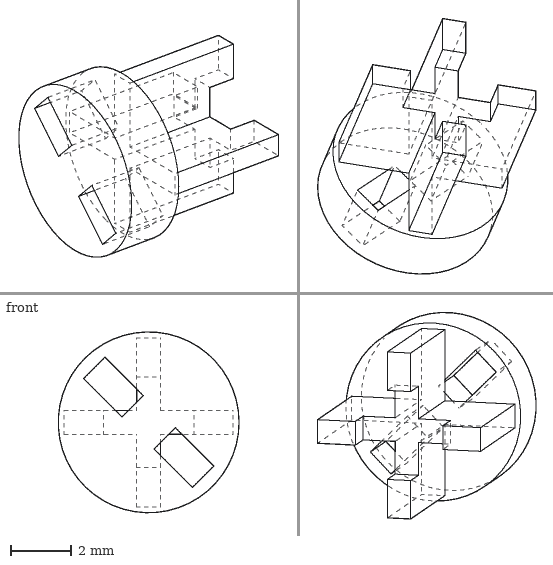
import cadquery as cq

total_length = 6.4
disk_diameter = 6.0
disk_thickness = 2.0
plate_width = 5.6
plate_thickness = 0.8
notch_width = 3.0
notch_depth = 1.0
hole_length = 1.8
hole_width = 1.0
hole_center_radius = 1.65
hole_angle = 45.0

plate_length = total_length - disk_thickness


def box_along_y(width, height, start, length):
    """Box centred on the Y axis, reaching from start to start + length."""
    return cq.Workplane("XY").box(width, length, height).translate((0, start + length / 2, 0))


def make_disk():
    """Round base with two rectangular through holes on one diagonal."""
    disk = cq.Workplane("XZ").circle(disk_diameter / 2).extrude(-disk_thickness)
    for side in (-1, 1):
        hole = box_along_y(hole_length, hole_width, 0, disk_thickness)
        hole = hole.translate((side * hole_center_radius, 0, 0))
        disk = disk.cut(hole.rotate((0, 0, 0), (0, 1, 0), hole_angle))
    return disk


def make_cross():
    """Two crossing plates with the middle of their free end cut away."""
    flat_plate = box_along_y(plate_width, plate_thickness, disk_thickness, plate_length)
    upright_plate = box_along_y(plate_thickness, plate_width, disk_thickness, plate_length)
    notch = box_along_y(notch_width, notch_width, total_length - notch_depth, notch_depth)
    return flat_plate.union(upright_plate).cut(notch)


result = make_disk().union(make_cross())